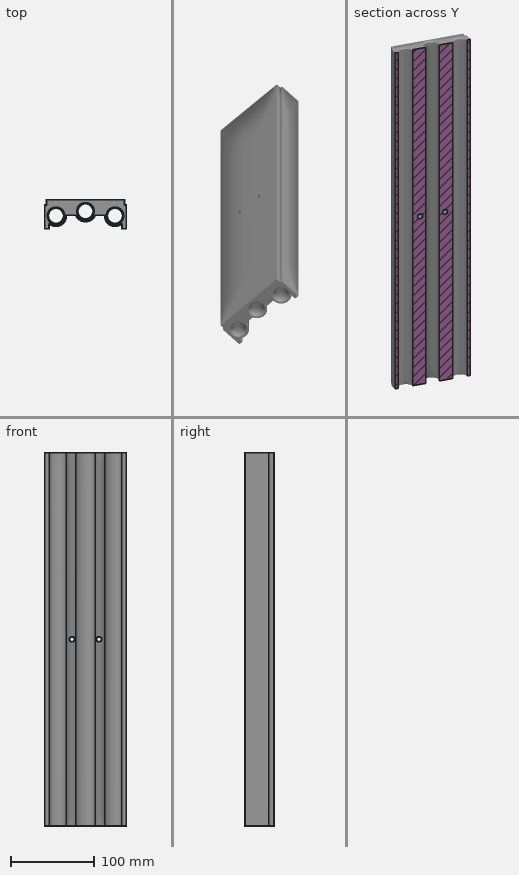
import cadquery as cq

length = 448.0
width = 98.0
depth = 35.0

back_width = 93.5
step_depth = 6.3
floor_depth = 19.0
wall_thickness = 5.5

boss_diameter = 25.0
bore_diameter = 18.5
bore_chamfer = 1.1
side_spacing = 35.5
side_center_depth = 19.3
middle_center_depth = 14.0

cross_hole_diameter = 6.0
cross_hole_offset = 16.0

bore_radius = bore_diameter / 2
back_y = depth / 2
channel_centers = [
    (-side_spacing, back_y - side_center_depth),
    (0, back_y - middle_center_depth),
    (side_spacing, back_y - side_center_depth),
]


def bar(x_size, near_depth, far_depth, x_center=0):
    """Full-length bar between two depths below the back face."""
    y_center = back_y - (near_depth + far_depth) / 2
    return (
        cq.Workplane("XY", origin=(x_center, y_center, 0))
        .rect(x_size, far_depth - near_depth)
        .extrude(length / 2, both=True)
    )


def channel_rods(diameter):
    """Full-length rods on the three channel axes."""
    return (
        cq.Workplane("XY")
        .pushPoints(channel_centers)
        .circle(diameter / 2)
        .extrude(length / 2, both=True)
    )


body = bar(back_width, 0, floor_depth)
wall_center = (width - wall_thickness) / 2
for side in (-1, 1):
    body = body.union(bar(wall_thickness, step_depth, depth, side * wall_center))

body = body.union(channel_rods(boss_diameter))
body = body.cut(channel_rods(bore_diameter))

for end in (-1, 1):
    for x, y in channel_centers:
        mouth = cq.Solid.makeCone(
            bore_radius + bore_chamfer,
            bore_radius,
            bore_chamfer,
            pnt=cq.Vector(x, y, end * length / 2),
            dir=cq.Vector(0, 0, -end),
        )
        body = body.cut(cq.Workplane(obj=mouth))

cross_holes = (
    cq.Workplane("XZ")
    .pushPoints([(-cross_hole_offset, 0), (cross_hole_offset, 0)])
    .circle(cross_hole_diameter / 2)
    .extrude(depth, both=True)
)
result = body.cut(cross_holes)